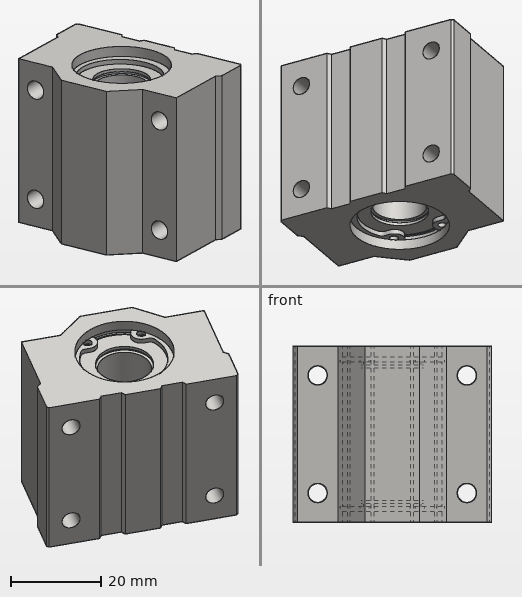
import cadquery as cq
import math

WIDTH = 44.0
DEPTH = 30.0
HEIGHT = 39.0
LOWER_WIDTH = 41.98
SHELF_Y = -9.6
FLANGE_STEP_Y = 7.0
NOSE_BASE_WIDTH = 24.0
NOSE_TIP_WIDTH = 12.0
BACK_CHAMFER = 0.5

CHANNEL_CENTER_X = 7.0
CHANNEL_MOUTH_WIDTH = 5.9
CHANNEL_FLOOR_WIDTH = 4.65
CHANNEL_DEPTH = 0.92

MOUNT_HOLE_D = 4.3
MOUNT_CORE_D = 4.15
MOUNT_CORE_LENGTH = 12.0
MOUNT_SPACING_X = 33.0
MOUNT_SPACING_Z = 26.0

BORE_D = 22.0
GROOVE_D = 23.0
RING_DEPTH = 2.38
RING_THICKNESS = 1.1

BEARING_LENGTH = HEIGHT - 2 * (RING_DEPTH + RING_THICKNESS)
BEARING_FACE_D = 21.0
SHAFT_D = 12.0
LIP_D = 12.8
LIP_THICKNESS = 0.7
UNDERCUT_D = 13.6
UNDERCUT_DEPTH = 1.3

RING_INNER_R = 9.75
RING_INNER_Y = -0.65
LUG_R = 2.35
LUG_X = 6.2
LUG_Y = -8.55
LUG_HOLE_D = 2.0
LUG_HOLE_X = 6.15
LUG_HOLE_Y = -8.25
LUG_BLEND_R = 1.3


def cylinder(diameter, length, z_start):
    """Cylinder on the bore axis, rising from z_start."""
    return cq.Workplane("XY").workplane(offset=z_start).circle(diameter / 2).extrude(length)


def both_ends(shape):
    """The given shape and its mirror image at the other end."""
    return [shape, shape.mirror("XY")]


def make_block():
    """Extruded outline, drawn as its right half and mirrored."""
    back = DEPTH / 2
    step = (WIDTH - LOWER_WIDTH) / 2
    channel_floor = back - CHANNEL_DEPTH
    half_outline = [
        (0, back),
        (CHANNEL_CENTER_X - CHANNEL_MOUTH_WIDTH / 2, back),
        (CHANNEL_CENTER_X - CHANNEL_FLOOR_WIDTH / 2, channel_floor),
        (CHANNEL_CENTER_X + CHANNEL_FLOOR_WIDTH / 2, channel_floor),
        (CHANNEL_CENTER_X + CHANNEL_MOUTH_WIDTH / 2, back),
        (WIDTH / 2 - BACK_CHAMFER, back),
        (WIDTH / 2, back - BACK_CHAMFER),
        (WIDTH / 2, FLANGE_STEP_Y),
        (LOWER_WIDTH / 2, FLANGE_STEP_Y - step),
        (LOWER_WIDTH / 2, SHELF_Y),
        (NOSE_BASE_WIDTH / 2, SHELF_Y),
        (NOSE_TIP_WIDTH / 2, -DEPTH / 2),
        (0, -DEPTH / 2),
    ]
    outline = cq.Workplane("XY").workplane(offset=-HEIGHT / 2).polyline(half_outline).mirrorY()
    return outline.extrude(HEIGHT)


def mount_holes(diameter, y_start, y_end):
    """Four cylinders along Y at the mounting hole positions."""
    return (
        cq.Workplane("XZ", origin=(0, y_end, 0))
        .rarray(MOUNT_SPACING_X, MOUNT_SPACING_Z, 2, 2)
        .circle(diameter / 2)
        .extrude(y_end - y_start)
    )


def make_housing():
    bore = cylinder(BORE_D, HEIGHT, -HEIGHT / 2)
    groove = cylinder(GROOVE_D, RING_THICKNESS, BEARING_LENGTH / 2)
    housing = make_block().cut(bore)
    housing = housing.cut(mount_holes(MOUNT_CORE_D, -DEPTH / 2, DEPTH / 2))
    housing = housing.cut(mount_holes(MOUNT_HOLE_D, -DEPTH / 2, DEPTH / 2 - MOUNT_CORE_LENGTH))
    for end_groove in both_ends(groove):
        housing = housing.cut(end_groove)
    return housing


def make_bearing():
    """Sleeve with rounded ends and an undercut seal recess in each end."""
    end = BEARING_LENGTH / 2
    edge_radius = (BORE_D - BEARING_FACE_D) / 2
    bearing = cylinder(BORE_D, BEARING_LENGTH, -end).edges("%CIRCLE").fillet(edge_radius)
    bearing = bearing.cut(cylinder(SHAFT_D, BEARING_LENGTH, -end))
    lip_opening = cylinder(LIP_D, LIP_THICKNESS, end - LIP_THICKNESS)
    undercut = cylinder(UNDERCUT_D, UNDERCUT_DEPTH - LIP_THICKNESS, end - UNDERCUT_DEPTH)
    for recess in both_ends(lip_opening.union(undercut)):
        bearing = bearing.cut(recess)
    return bearing


def make_ring():
    """Retaining ring that fills the upper groove, with two drilled lugs at its gap."""
    base = cq.Workplane("XY").workplane(offset=BEARING_LENGTH / 2)
    disc = base.circle(GROOVE_D / 2).extrude(RING_THICKNESS)
    inner = base.center(0, RING_INNER_Y).circle(RING_INNER_R).extrude(RING_THICKNESS)
    gap = base.center(0, -GROOVE_D / 4).rect(2 * LUG_X, GROOVE_D / 2).extrude(RING_THICKNESS)
    ring = disc.cut(inner).cut(gap)

    lug_top = LUG_Y + LUG_R
    shoulder_width = GROOVE_D / 2 - LUG_X
    shoulder_height = lug_top + GROOVE_D / 2
    for side in (-1, 1):
        round_end = base.center(side * LUG_X, LUG_Y).circle(LUG_R).extrude(RING_THICKNESS)
        shoulder = (
            base.center(side * (LUG_X + shoulder_width / 2), lug_top - shoulder_height / 2)
            .rect(shoulder_width, shoulder_height)
            .extrude(RING_THICKNESS)
        )
        ring = ring.union(round_end.union(shoulder).intersect(disc))

    corner_x = math.sqrt(RING_INNER_R**2 - (lug_top - RING_INNER_Y) ** 2)
    for side in (-1, 1):
        corner = (side * corner_x, lug_top, BEARING_LENGTH / 2 + RING_THICKNESS / 2)
        ring = ring.edges(cq.selectors.NearestToPointSelector(corner)).fillet(LUG_BLEND_R)

    lug_holes = (
        base.pushPoints([(-LUG_HOLE_X, LUG_HOLE_Y), (LUG_HOLE_X, LUG_HOLE_Y)])
        .circle(LUG_HOLE_D / 2)
        .extrude(RING_THICKNESS)
    )
    return ring.cut(lug_holes)


housing = make_housing()
bearing = make_bearing()
rings = both_ends(make_ring())

result = cq.Compound.makeCompound(
    [*housing.solids().vals(), *bearing.solids().vals(), *[ring.solids().val() for ring in rings]]
)